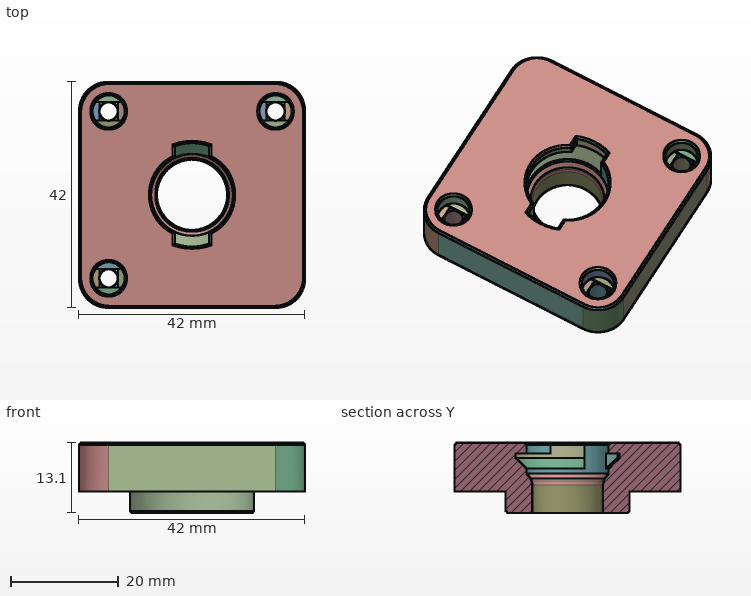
import cadquery as cq
import math

side = 42.0
height = 13.05
plate_height = 9.07
corner_radius = 5.5
hub_diameter = 23.1
edge_chamfer = 0.4

hole_offset = 15.5
screw_diameter = 3.4
head_diameter = 6.0
head_depth = 3.2
bridge_step = 0.2

socket_radius = 7.6
socket_depth = 5.75
seat_radius = 6.85
seat_depth = 6.68
throat_radius = 6.68
throat_depth = 7.15
bore_diameter = 13.05
bore_depth = 7.85
slot_radius = 9.6
slot_width = 6.4
track_roof_depth = 2.0
ramp_top_depth = 2.8
ramp_bottom_depth = ramp_top_depth + slot_radius - socket_radius
turn_angle = 85.0


def revolve_profile(points):
    """Revolve (radius, Z) points about the Z axis."""
    return cq.Workplane("XZ").polyline(points).close().revolve(360, (0, 0), (0, 1))


def make_body():
    """Rounded square plate with a round hub below it."""
    plate = (
        cq.Workplane("XY").rect(side, side).extrude(-plate_height)
        .edges("|Z").fillet(corner_radius)
        .faces(">Z").edges().chamfer(edge_chamfer)
    )
    hub = (
        cq.Workplane("XY").circle(hub_diameter / 2).extrude(-height)
        .faces("<Z").edges().chamfer(edge_chamfer)
    )
    return plate.union(hub)


def make_screw_hole():
    """Counterbored hole with two stepped bridging recesses under the screw head."""
    head = cq.Workplane("XY").circle(head_diameter / 2).extrude(-head_depth)
    shank = cq.Workplane("XY").circle(screw_diameter / 2).extrude(-plate_height)
    floor = cq.Workplane("XY").workplane(offset=-head_depth)
    strip = (
        floor.rect(head_diameter, screw_diameter).extrude(-bridge_step)
        .intersect(floor.circle(head_diameter / 2).extrude(-bridge_step))
    )
    square = floor.rect(screw_diameter, screw_diameter).extrude(-2 * bridge_step)
    rim = revolve_profile([
        (0, 0),
        (head_diameter / 2 + edge_chamfer, 0),
        (head_diameter / 2, -edge_chamfer),
        (0, -edge_chamfer),
    ])
    return head.union(shank).union(strip).union(square).union(rim)


def make_bore():
    """Socket that narrows in steps to the through bore."""
    return revolve_profile([
        (0, 0),
        (socket_radius, 0),
        (socket_radius, -socket_depth),
        (seat_radius, -seat_depth),
        (throat_radius, -throat_depth),
        (bore_diameter / 2, -bore_depth),
        (bore_diameter / 2, -height),
        (0, -height),
    ])


def make_ring(top_z):
    """Disc with a conical floor that slopes down to the socket wall."""
    return revolve_profile([
        (0, top_z),
        (slot_radius, top_z),
        (slot_radius, -ramp_top_depth),
        (socket_radius, -ramp_bottom_depth),
        (0, -ramp_bottom_depth),
    ])


def make_entry_slots():
    """Pair of opposite slots that let the bayonet lugs in."""
    bar = cq.Workplane("XY").rect(slot_width, 2 * slot_radius).extrude(-height)
    return make_ring(0).intersect(bar)


def make_lug_tracks():
    """Pair of grooves that each run from an entry slot through the turn angle."""
    axis_start = (0, 0, 0)
    axis_end = (0, 0, 1)
    entry = cq.Workplane("XY").rect(slot_width, 2 * slot_radius).extrude(-height)
    locked = entry.rotate(axis_start, axis_end, turn_angle)

    reach = 2 * slot_radius
    start_angle = math.radians(-90)
    sector_points = [(0, 0)]
    for turn_fraction in (0, 0.5, 1):
        angle = start_angle + turn_fraction * math.radians(turn_angle)
        sector_points.append((reach * math.cos(angle), reach * math.sin(angle)))
    sector = cq.Workplane("XY").polyline(sector_points).close().extrude(-height)
    opposite_sector = sector.rotate(axis_start, axis_end, 180)

    sweep = entry.union(locked).union(sector).union(opposite_sector)
    return make_ring(-track_roof_depth).intersect(sweep)


def chamfer_mouth(body):
    """Chamfer the outline of the socket and its slots on the top face."""
    reach = slot_radius + edge_chamfer
    mouth_box = cq.selectors.BoxSelector(
        (-reach, -reach, -edge_chamfer),
        (reach, reach, edge_chamfer),
    )
    return body.faces(">Z").edges(mouth_box).chamfer(edge_chamfer)


result = make_body().cut(make_bore().union(make_entry_slots()))
result = chamfer_mouth(result).cut(make_lug_tracks())

screw_hole = make_screw_hole()
for x_sign, y_sign in ((-1, -1), (-1, 1), (1, 1)):
    result = result.cut(screw_hole.translate((x_sign * hole_offset, y_sign * hole_offset, 0)))